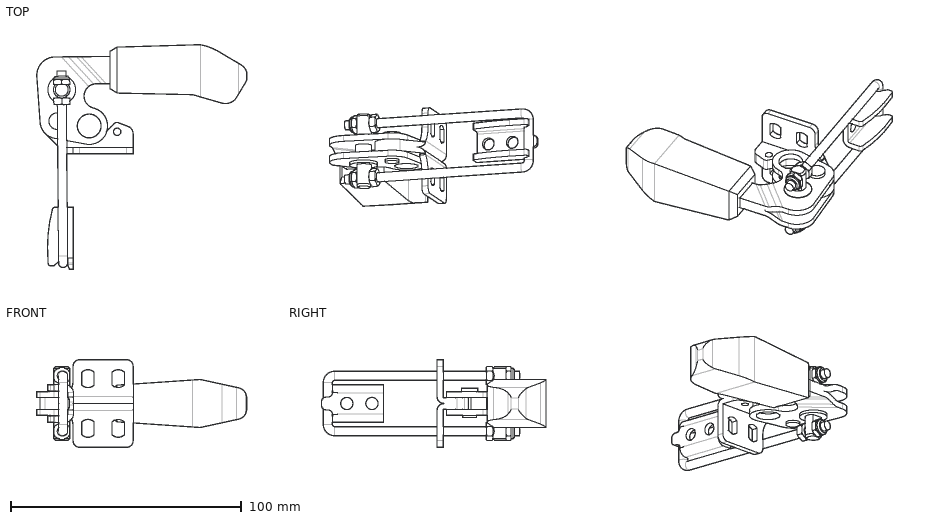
import cadquery as cq
import math


web_half = 2.5
plate_thick = 2.65
plate_top = web_half + plate_thick
pivot = (-1.94, -13.6)
pivot_boss_radius = 7.5
finger_hole = (11.9, -15.68)
finger_hole_radius = 5.1
finger_ring_radius = 8.0
stud_top_radius = 3.6
stud_top = 6.65
stud_bottom_radius = 3.05
stud_bottom = -6.1
trunnion_radius = 3.55

corner_centre = (-2.8, 6.2)
corner_radius = 8.05
throat_radius = 5.3
tang_low = 2.55
tang_high = 14.65
tang_end = 42.0
jog_start = (0.0, 14.07)
jog_heading = math.radians(-47.3)
jog_angle = math.radians(30)
outer_bend = 4.6
inner_bend = 2.9

collar_x = 20.8
collar_y = (0.5, 16.6)
collar_half = 6.0
shoulder_x = 24.0
shoulder_y = (-1.5, 18.5)
shoulder_half = 8.0
crest_x = 60.0
crest_half = 10.45
crest_y = 19.56
grip_bend_x = 56.7
grip_bend_y = -2.2
brow_mid = (63.9, 18.5)
brow_end = (67.2, 17.0)
grip_tip = (82.5, 7.95)
grip_heel = (73.5, -7.05)
grip_corner_radius = 5.7
end_x = 80.13
end_half = 6.05
end_edge_radius = 4.6

base_bottom = -27.76
flange_thick = 2.85
flange_x = (4.87, 30.97)
flange_half_height = 19.0
flange_corner = 2.9
fold_radius = 3.04
neck_fillet = 9.0
slot_spacing = 13.1
slot_z = 10.75
slot_width = 5.2
slot_length = 7.65
lug_peak = (23.5, -13.85)
lug_peak_radius = 1.5
lug_shoulder_y = -16.7
lug_shoulder_radius = 3.5
lug_hole = (24.0, -18.2)
lug_hole_radius = 1.55

rod_radius = 2.0
leg_z = 12.0
rod_bend = 3.0
bolt_end_y = 8.1
bolt_low_y = -75.0
bolt_tilt = 0.46
nut_flats = 7.0
nut_corners = nut_flats / math.cos(math.pi / 6)
seat_y = 2.2
lock_nut_height = 2.2
lock_collar_height = 1.45
lock_collar_radius = 3.35
lock_collar_lip = 2.7
lower_nut_height = 2.85
nut_bevel = 0.35
trunnion_half = 16.0
trunnion_chamfer = 0.75
trunnion_chamfer_height = 0.95
head_radius = 6.0
head_lip = 0.25
head_top = 6.9
washer_thick = 1.15

catch_half = 8.13
catch_wall = 2.65
catch_back_x = 5.05
catch_floor_x = 2.61
catch_bend = 3.5
catch_bend_inside = 0.85
catch_top_y = -50.8
catch_nose_y = -76.3
catch_nose_x = (-4.9, -3.4)
catch_nose_shoulder = (-5.95, -75.0)
catch_nose_round_mid = (-5.6, -75.95)
catch_front_x = -6.2
catch_bulge_y = -68.3
catch_bow_radius = 66.0
catch_top_round = 1.4
catch_groove = 2.05
catch_groove_mouth = 165
catch_hole_ys = (-55.87, -66.75)
catch_hole_radius = 2.6
tongue_half = 2.75
tongue_fillet = 2.05
tongue_tip_y = -77.8
tongue_bevel_x = 0.75
tongue_bevel_y = 1.8


def tangent_line(c1, r1, c2, r2):
    """Ends of the line touching two circles, with both circles on the left of its direction."""
    dx = c2[0] - c1[0]
    dy = c2[1] - c1[1]
    heading = math.atan2(dy, dx)
    normal = heading - math.acos((r1 - r2) / math.hypot(dx, dy))
    across = (math.cos(normal), math.sin(normal))
    return (
        (c1[0] + r1 * across[0], c1[1] + r1 * across[1]),
        (c2[0] + r2 * across[0], c2[1] + r2 * across[1]),
    )


def on_circle(centre, radius, degrees):
    angle = math.radians(degrees)
    return (centre[0] + radius * math.cos(angle), centre[1] + radius * math.sin(angle))


def slab(x_range, y_range, z_range):
    return cq.Workplane("XY").box(
        x_range[1] - x_range[0], y_range[1] - y_range[0], z_range[1] - z_range[0], centered=False
    ).translate((x_range[0], y_range[0], z_range[0]))


def disc(centre, radius, low, high):
    return cq.Workplane("XY").workplane(offset=low).center(*centre).circle(radius).extrude(high - low)


def lever_outline():
    throat_y = tang_low - throat_radius
    reach = finger_ring_radius + throat_radius
    rise = throat_y - finger_hole[1]
    throat = (finger_hole[0] + math.sqrt(reach**2 - rise**2), throat_y)
    share = finger_ring_radius / reach
    meet = (
        finger_hole[0] + share * (throat[0] - finger_hole[0]),
        finger_hole[1] + share * rise,
    )
    top = tangent_line((tang_end, tang_high), 0, corner_centre, corner_radius)
    left = tangent_line(corner_centre, corner_radius, pivot, pivot_boss_radius)
    bottom = tangent_line(pivot, pivot_boss_radius, finger_hole, finger_ring_radius)
    return (
        cq.Workplane("XY")
        .moveTo(*top[0])
        .lineTo(*top[1])
        .threePointArc(on_circle(corner_centre, corner_radius, 135), left[0])
        .lineTo(*left[1])
        .threePointArc(on_circle(pivot, pivot_boss_radius, 225), bottom[0])
        .lineTo(*bottom[1])
        .threePointArc(on_circle(finger_hole, finger_ring_radius, 0), meet)
        .threePointArc(on_circle(throat, throat_radius, 180), (throat[0], tang_low))
        .lineTo(tang_end, tang_low)
        .close()
    )


def jog_strip():
    """The upper plate's sheet, bent down to the middle plane across the bend lines."""
    reach = 2 * tang_end
    first_z = plate_top - outer_bend
    second_z = plate_thick + inner_bend
    slope_run = (second_z - first_z - (outer_bend + inner_bend) * math.cos(jog_angle)) / -math.tan(jog_angle)
    second_u = (outer_bend + inner_bend) * math.sin(jog_angle) + slope_run

    def first(radius, angle):
        return (radius * math.sin(angle), first_z + radius * math.cos(angle))

    def second(radius, angle):
        return (second_u - radius * math.sin(angle), second_z - radius * math.cos(angle))

    under_first = outer_bend - plate_thick
    under_second = inner_bend + plate_thick
    across = (-math.sin(jog_heading), math.cos(jog_heading), 0)
    along = (math.cos(jog_heading), math.sin(jog_heading), 0)
    plane = cq.Plane(origin=(*jog_start, 0), xDir=across, normal=along)
    half = jog_angle / 2
    return (
        cq.Workplane(plane)
        .moveTo(-reach, plate_top)
        .lineTo(*first(outer_bend, 0))
        .threePointArc(first(outer_bend, half), first(outer_bend, jog_angle))
        .lineTo(*second(inner_bend, jog_angle))
        .threePointArc(second(inner_bend, half), second(inner_bend, 0))
        .lineTo(reach, plate_thick)
        .lineTo(reach, 0)
        .lineTo(*second(under_second, 0))
        .threePointArc(second(under_second, half), second(under_second, jog_angle))
        .lineTo(*first(under_first, jog_angle))
        .threePointArc(first(under_first, half), first(under_first, 0))
        .lineTo(-reach, web_half)
        .close()
        .extrude(reach, both=True)
    )


def make_lever():
    upper = lever_outline().extrude(plate_top).intersect(jog_strip())
    lever = upper.union(upper.mirror("XY"))
    lever = lever.cut(disc(finger_hole, finger_hole_radius, -plate_top, plate_top))
    lever = lever.cut(disc((0, 0), trunnion_radius, -plate_top, plate_top))
    lever = lever.cut(disc(pivot, stud_top_radius, 0, plate_top))
    return lever.cut(disc(pivot, stud_bottom_radius, -plate_top, 0))


def make_grip(lever):
    side = (
        cq.Workplane("XY")
        .moveTo(shoulder_x, shoulder_y[0])
        .lineTo(grip_bend_x, grip_bend_y)
        .lineTo(*grip_heel)
        .lineTo(*grip_tip)
        .lineTo(*brow_end)
        .threePointArc(brow_mid, (crest_x, crest_y))
        .lineTo(shoulder_x, shoulder_y[1])
        .close()
        .extrude(crest_half, both=True)
    )
    for corner in (grip_heel, grip_tip):
        side = side.edges(cq.selectors.NearestToPointSelector((*corner, 0))).fillet(grip_corner_radius)
    widths = [(shoulder_x, shoulder_half), (crest_x, crest_half), (end_x, end_half)]
    plan = (
        cq.Workplane("XZ")
        .polyline(widths + [(x, -z) for x, z in reversed(widths)])
        .close()
        .extrude(crest_x, both=True)
        .edges("|Y and >X")
        .fillet(end_edge_radius)
    )
    collar = (
        cq.Workplane("YZ", origin=(collar_x, 0, 0))
        .center(sum(collar_y) / 2, 0)
        .rect(collar_y[1] - collar_y[0], 2 * collar_half)
        .workplane(offset=shoulder_x - collar_x)
        .center((sum(shoulder_y) - sum(collar_y)) / 2, 0)
        .rect(shoulder_y[1] - shoulder_y[0], 2 * shoulder_half)
        .loft(ruled=True)
    )
    return side.intersect(plan).union(collar).cut(lever)


def base_web():
    edge = on_circle(pivot, pivot_boss_radius, 225)
    foot_x = edge[0] + edge[1] - base_bottom
    offset = (lug_peak[0] - finger_hole[0] - lug_peak[1] + finger_hole[1]) / 2
    clearance = disc(finger_hole, offset * math.sqrt(2), -web_half, web_half)
    lug = (
        cq.Workplane("XY")
        .moveTo(*pivot)
        .lineTo(*edge)
        .lineTo(foot_x, base_bottom)
        .lineTo(flange_x[1], base_bottom)
        .lineTo(flange_x[1], lug_shoulder_y)
        .lineTo(*lug_peak)
        .lineTo(finger_hole[0] + offset, finger_hole[1] - offset)
        .close()
        .extrude(web_half, both=True)
    )
    rounds = [
        ((flange_x[1], lug_shoulder_y, 0), lug_shoulder_radius),
        ((*lug_peak, 0), lug_peak_radius),
    ]
    for corner, radius in rounds:
        lug = lug.edges(cq.selectors.NearestToPointSelector(corner)).fillet(radius)
    boss = disc(pivot, pivot_boss_radius, -web_half, web_half)
    return lug.union(boss).cut(clearance), foot_x


def base_flange(foot_x):
    y_range = (base_bottom, base_bottom + flange_thick)
    plate = slab(flange_x, y_range, (-flange_half_height, flange_half_height))
    plate = plate.edges("|Y").fillet(flange_corner)
    neck_drop = flange_x[0] - foot_x
    fillet_rise = math.sqrt(neck_fillet**2 - (neck_fillet - neck_drop) ** 2)
    half_turn = math.acos(1 - neck_drop / neck_fillet) / 2
    mid = (
        flange_x[0] - neck_fillet * (1 - math.cos(half_turn)),
        fold_radius + fillet_rise - neck_fillet * math.sin(half_turn),
    )
    neck_top = fold_radius + fillet_rise
    neck = (
        cq.Workplane("XZ", origin=(0, base_bottom, 0))
        .moveTo(foot_x, -fold_radius)
        .lineTo(foot_x, fold_radius)
        .threePointArc(mid, (flange_x[0], neck_top))
        .lineTo(flange_x[0] + flange_corner, neck_top)
        .lineTo(flange_x[0] + flange_corner, -neck_top)
        .lineTo(flange_x[0], -neck_top)
        .threePointArc((mid[0], -mid[1]), (foot_x, -fold_radius))
        .close()
        .extrude(-flange_thick)
    )
    slots = (
        cq.Workplane("XZ", origin=(sum(flange_x) / 2, base_bottom, 0))
        .rarray(slot_spacing, 2 * slot_z, 2, 2)
        .circle(slot_length / 2)
        .extrude(-flange_thick)
    )
    slot_sides = (
        cq.Workplane("XZ", origin=(sum(flange_x) / 2, base_bottom, 0))
        .rarray(slot_spacing, 1, 2, 1)
        .rect(slot_width, 2 * flange_half_height)
        .extrude(-flange_thick)
    )
    return plate.union(neck).cut(slots.intersect(slot_sides))


def fold_groove(foot_x):
    """The cusp between the two outward folds along the bottom of the web."""
    centre_y = base_bottom + fold_radius
    groove = slab((foot_x - fold_radius, flange_x[1]), (base_bottom, centre_y), (-fold_radius, fold_radius))
    for side in (-1, 1):
        fold = (
            cq.Workplane("YZ", origin=(foot_x - fold_radius, 0, 0))
            .center(centre_y, side * fold_radius)
            .circle(fold_radius)
            .extrude(flange_x[1] - foot_x + fold_radius)
        )
        groove = groove.cut(fold)
    return groove


def make_base():
    web, foot_x = base_web()
    base = web.union(base_flange(foot_x)).cut(fold_groove(foot_x))
    base = base.cut(disc(lug_hole, lug_hole_radius, -web_half, web_half))
    base = base.union(disc(pivot, stud_top_radius, 0, stud_top))
    return base.union(disc(pivot, stud_bottom_radius, stud_bottom, 0))


def hex_nut(low, height, z):
    nut = (
        cq.Workplane("XZ", origin=(0, low, z))
        .polygon(6, nut_corners)
        .extrude(-height)
        .rotate((0, 0, z), (0, 1, z), 30)
    )
    bevelled = cq.Workplane("XZ", origin=(0, low, z)).circle(nut_corners / 2).extrude(-height)
    return nut.intersect(bevelled.edges().chamfer(nut_bevel))


def lock_collar(z):
    low = seat_y + lock_nut_height
    lip_y = low + lock_collar_height / 2
    return (
        cq.Workplane("XY")
        .polyline([
            (0, low),
            (lock_collar_radius, low),
            (lock_collar_radius, lip_y),
            (lock_collar_lip, low + lock_collar_height),
            (0, low + lock_collar_height),
        ])
        .close()
        .revolve(360, (0, 0, 0), (0, 1, 0))
        .translate((0, 0, z))
    )


def make_u_bolt():
    bend_y = bolt_low_y + rod_bend
    bend_z = leg_z - rod_bend
    inset = rod_bend * math.sqrt(0.5)
    path = (
        cq.Workplane("YZ")
        .moveTo(bolt_end_y, leg_z)
        .lineTo(bend_y, leg_z)
        .threePointArc((bend_y - inset, bend_z + inset), (bolt_low_y, bend_z))
        .lineTo(bolt_low_y, -bend_z)
        .threePointArc((bend_y - inset, -bend_z - inset), (bend_y, -leg_z))
        .lineTo(bolt_end_y, -leg_z)
    )
    bolt = cq.Workplane("XZ", origin=(0, bolt_end_y, leg_z)).circle(rod_radius).sweep(path)
    for z in (-leg_z, leg_z):
        bolt = bolt.union(hex_nut(seat_y, lock_nut_height, z)).union(lock_collar(z))
        bolt = bolt.union(hex_nut(-trunnion_radius - lower_nut_height, lower_nut_height, z))
    return bolt.rotate((0, 0, 0), (0, 0, 1), bolt_tilt)


def make_trunnion(u_bolt):
    core = disc((0, 0), trunnion_radius, -trunnion_half, trunnion_half)
    core = core.faces("<Z or >Z").chamfer(trunnion_chamfer_height, trunnion_chamfer)
    for low, high in ((plate_top, trunnion_half), (-trunnion_half, -plate_top)):
        core = core.cut(slab((-trunnion_radius, trunnion_radius), (seat_y, trunnion_radius), (low, high)))
    core = core.rotate((0, 0, 0), (0, 0, 1), bolt_tilt)
    head = (
        cq.Workplane("XZ")
        .polyline([
            (0, plate_top),
            (head_radius, plate_top),
            (head_radius, plate_top + head_lip),
            (trunnion_radius, head_top),
            (0, head_top),
        ])
        .close()
        .revolve(360, (0, 0, 0), (0, 1, 0))
    )
    washer = disc((0, 0), head_radius, -plate_top - washer_thick, -plate_top)
    return core.union(head).union(washer).cut(u_bolt)


def catch_side(rod):
    """Side outline of the catch: a hooked nose in front of the groove that holds the rod."""
    floor_end_y = rod[1] + catch_groove
    groove_edge = on_circle(rod, catch_groove, catch_groove_mouth)
    bow_height = catch_top_y - catch_bulge_y

    def bow(height):
        setback = catch_bow_radius - math.sqrt(catch_bow_radius**2 - height**2)
        return (catch_front_x + setback, catch_bulge_y + height)

    top_corner = bow(bow_height)
    side = (
        cq.Workplane("XY")
        .moveTo(catch_back_x, catch_top_y)
        .lineTo(*top_corner)
        .threePointArc(bow(bow_height / 2), bow(0))
        .lineTo(*catch_nose_shoulder)
        .threePointArc(catch_nose_round_mid, (catch_nose_x[0], catch_nose_y))
        .lineTo(catch_nose_x[1], catch_nose_y)
        .lineTo(*groove_edge)
        .threePointArc(on_circle(rod, catch_groove, (catch_groove_mouth + 90) / 2), (rod[0], floor_end_y))
        .lineTo(catch_back_x, floor_end_y)
        .close()
        .extrude(catch_half, both=True)
    )
    side = side.edges(cq.selectors.NearestToPointSelector((*top_corner, 0))).fillet(catch_top_round)
    return side, floor_end_y


def catch_tongue(floor_end_y):
    root = tongue_half + tongue_fillet
    tip = tongue_half - tongue_fillet
    slant = tongue_fillet * (1 - math.sqrt(0.5))
    shoulder_y = floor_end_y - tongue_fillet
    round_y = tongue_tip_y + tongue_fillet
    tongue = (
        cq.Workplane("YZ", origin=(catch_floor_x, 0, 0))
        .moveTo(floor_end_y, root)
        .threePointArc((floor_end_y - slant, tongue_half + slant), (shoulder_y, tongue_half))
        .lineTo(round_y, tongue_half)
        .threePointArc((tongue_tip_y + slant, tongue_half - slant), (tongue_tip_y, tip))
        .lineTo(tongue_tip_y, -tip)
        .threePointArc((tongue_tip_y + slant, slant - tongue_half), (round_y, -tongue_half))
        .lineTo(shoulder_y, -tongue_half)
        .threePointArc((floor_end_y - slant, -tongue_half - slant), (floor_end_y, -root))
        .lineTo(floor_end_y + tongue_fillet, -root)
        .lineTo(floor_end_y + tongue_fillet, root)
        .close()
        .extrude(catch_back_x - catch_floor_x)
    )
    bevel = (
        cq.Workplane("XY")
        .polyline([
            (catch_floor_x, tongue_tip_y),
            (catch_floor_x + tongue_bevel_x, tongue_tip_y),
            (catch_floor_x, tongue_tip_y + tongue_bevel_y),
        ])
        .close()
        .extrude(root, both=True)
    )
    return tongue.cut(bevel)


def make_catch():
    tilt = math.radians(bolt_tilt)
    rod = (-bolt_low_y * math.sin(tilt), bolt_low_y * math.cos(tilt))
    y_range = (catch_nose_y, catch_top_y)
    outside = slab((catch_front_x, catch_back_x), y_range, (-catch_half, catch_half))
    outside = outside.edges("|Y and >X").fillet(catch_bend)
    inner_half = catch_half - catch_wall
    inside = slab((catch_front_x, catch_floor_x), y_range, (-inner_half, inner_half))
    inside = inside.edges("|Y and >X").fillet(catch_bend_inside)
    side, floor_end_y = catch_side(rod)
    catch = outside.cut(inside).intersect(side).union(catch_tongue(floor_end_y))
    for y in catch_hole_ys:
        hole = cq.Workplane("YZ").center(y, 0).circle(catch_hole_radius).extrude(catch_back_x)
        catch = catch.cut(hole)
    return catch


lever = make_lever()
grip = make_grip(lever)
base = make_base()
u_bolt = make_u_bolt()
trunnion = make_trunnion(u_bolt)
catch = make_catch()

bodies = (lever, grip, base, u_bolt, trunnion, catch)
result = cq.Compound.makeCompound([body.solids().val() for body in bodies])